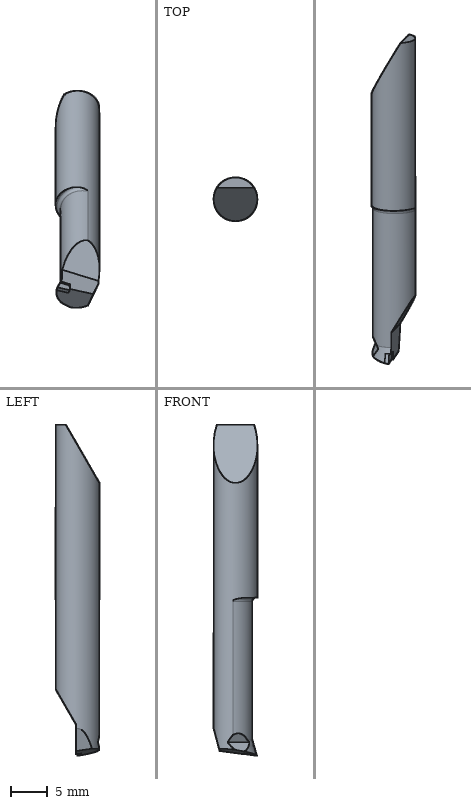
import cadquery as cq
import math

length = 45.0
diameter = 6.0
radius = diameter / 2
oversize = 3 * diameter

top_land_y = 1.58
slope_angle = 30.0

neck_shift = 0.698
shoulder_z = 21.5
shoulder_fillet = 0.5
flare_z = 2.2
flare_angle = 16.0

rake_y = 0.22
rake_slope_z = 4.28
bevel_top_z = 3.75
bevel_angle = 15.0
corner_x = 2.9
end_angle = 7.8
relief_angle = 8.0

notch_z = 1.85
notch_depth = 2.228
notch_upper_angle = 23.0
notch_lower_angle = 28.0
notch_turn = 21.0

tip_left_x = 1.12
tip_back_y = -0.55
tip_top_z = 1.35


def tangent(angle):
    return math.tan(math.radians(angle))


def prism_along_x(points):
    """Prism over a Y-Z outline that spans the whole bar in X."""
    return cq.Workplane("YZ").polyline(points).close().extrude(oversize / 2, both=True)


def neck_envelope():
    """Shifted neck with a filleted shoulder and a flare at the cutting end."""
    neck = cq.Workplane("XY").center(-neck_shift, 0).circle(radius).extrude(shoulder_z)
    shoulder = (
        cq.Workplane("XY", origin=(-neck_shift, 0, shoulder_z))
        .circle(diameter)
        .extrude(length - shoulder_z)
    )
    envelope = neck.union(shoulder)
    at_shoulder = cq.selectors.BoxSelector(
        (-oversize, -oversize, shoulder_z - shoulder_fillet),
        (oversize, oversize, shoulder_z + shoulder_fillet),
    )
    smallest = cq.selectors.RadiusNthSelector(0)
    envelope = envelope.edges(at_shoulder).edges("%CIRCLE").edges(smallest).fillet(shoulder_fillet)
    flare = (
        cq.Workplane("XY", origin=(-neck_shift, 0, flare_z))
        .circle(radius)
        .workplane(offset=-flare_z)
        .center(flare_z * tangent(flare_angle), 0)
        .circle(radius)
        .loft(ruled=True)
    )
    return envelope.union(flare)


def top_slope():
    reach = top_land_y + diameter
    return prism_along_x([
        (top_land_y, length),
        (-reach, length),
        (-reach, length - (top_land_y + reach) / tangent(slope_angle)),
    ])


def rake_cut():
    """Flat rake side, running out along a slope at the back of the bar."""
    return prism_along_x([
        (rake_y, -diameter),
        (rake_y, rake_slope_z),
        (diameter, rake_slope_z + (diameter - rake_y) / tangent(slope_angle)),
        (diameter, -diameter),
    ])


def side_bevel():
    return (
        cq.Workplane("XZ")
        .moveTo(-radius, bevel_top_z)
        .lineTo(-radius + oversize * tangent(bevel_angle), bevel_top_z - oversize)
        .lineTo(-radius - oversize, bevel_top_z - oversize)
        .close()
        .extrude(oversize / 2, both=True)
    )


def end_relief():
    """Block below the end face, which rises from the corner toward -X and -Y."""
    normal = cq.Vector(tangent(end_angle), tangent(relief_angle), 1)
    plane = cq.Plane(origin=(corner_x, 0, 0), xDir=(1, 0, -normal.x), normal=normal.toTuple())
    return cq.Workplane(plane).rect(2 * oversize, 2 * oversize).extrude(-oversize)


def front_notch():
    reach = diameter
    notch = prism_along_x([
        (-notch_depth, notch_z),
        (-notch_depth - reach * tangent(notch_upper_angle), notch_z + reach),
        (-notch_depth - reach * tangent(notch_lower_angle), notch_z - reach),
    ])
    return notch.rotate((0, 0, 0), (0, 0, 1), notch_turn)


def shaped_bar():
    bar = cq.Workplane("XY").circle(radius).extrude(length).intersect(neck_envelope())
    for cut in (top_slope(), rake_cut(), side_bevel(), end_relief(), front_notch()):
        bar = bar.cut(cut)
    return bar


def tip_zone(front_y):
    """Corner region from the back of the tip seat to the given Y."""
    return cq.Workplane("XY").box(
        oversize, front_y - tip_back_y, tip_top_z, centered=False
    ).translate((tip_left_x, tip_back_y, 0))


bar = shaped_bar()
holder = bar.cut(tip_zone(radius))
cutting_tip = bar.intersect(tip_zone(0))

result = cq.Compound.makeCompound([holder.val(), cutting_tip.val()])